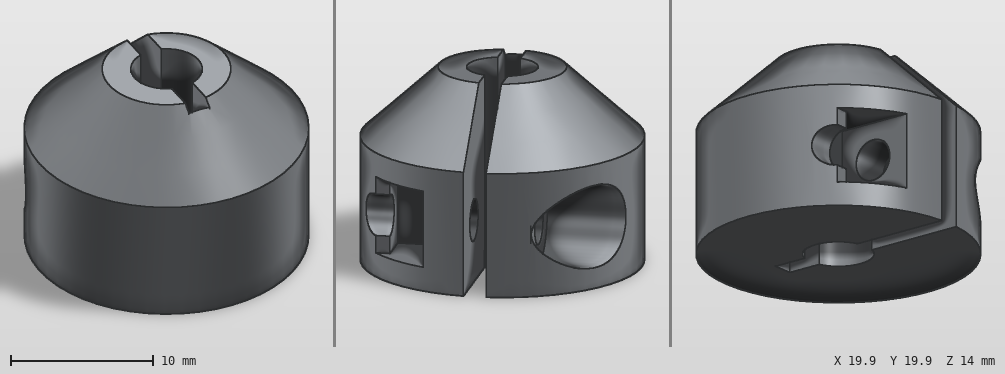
import cadquery as cq

body_diameter = 19.93
cylinder_height = 9.0
total_height = 14.0
top_diameter = 9.0
bore_diameter = 5.0

slit_width = 1.61
slit_end_x = 5.0

screw_x = -6.18
screw_z = cylinder_height / 2
screw_hole_diameter = 3.0
screw_head_diameter = 6.0
seat_offset = 3.83

nut_width = 5.52
nut_thickness = 2.97

body_radius = body_diameter / 2


def make_body():
    """Revolved outline of the cylinder and cone."""
    return (
        cq.Workplane("XZ")
        .moveTo(0, 0)
        .lineTo(body_radius, 0)
        .lineTo(body_radius, cylinder_height)
        .lineTo(top_diameter / 2, total_height)
        .lineTo(0, total_height)
        .close()
        .revolve(360, (0, 0, 0), (0, 1, 0))
    )


def make_bore():
    return cq.Workplane("XY").circle(bore_diameter / 2).extrude(total_height)


def make_slit():
    length = body_radius + slit_end_x
    return (
        cq.Workplane("XY")
        .box(length, slit_width, total_height, centered=(False, True, False))
        .translate((-body_radius, 0, 0))
    )


def make_screw_hole():
    """Through hole with a head counterbore entering from the -Y side."""
    hole = (
        cq.Workplane("XZ", origin=(screw_x, 0, screw_z))
        .circle(screw_hole_diameter / 2)
        .extrude(body_radius, both=True)
    )
    counterbore = (
        cq.Workplane("XZ", origin=(screw_x, -seat_offset, screw_z))
        .circle(screw_head_diameter / 2)
        .extrude(body_radius - seat_offset)
    )
    return hole.union(counterbore)


def make_nut_pocket():
    """Slot for the nut, with the wall outside it removed up to the screw axis."""
    nut_slot_length = body_radius + screw_x + nut_width / 2
    nut_slot = (
        cq.Workplane("XY")
        .box(nut_slot_length, nut_thickness, nut_width, centered=(False, False, True))
        .translate((-body_radius, seat_offset, screw_z))
    )
    entry = (
        cq.Workplane("XY")
        .box(body_radius + screw_x, body_radius - seat_offset, nut_width, centered=(False, False, True))
        .translate((-body_radius, seat_offset, screw_z))
    )
    return nut_slot.union(entry)


result = (
    make_body()
    .cut(make_bore())
    .cut(make_slit())
    .cut(make_screw_hole())
    .cut(make_nut_pocket())
)